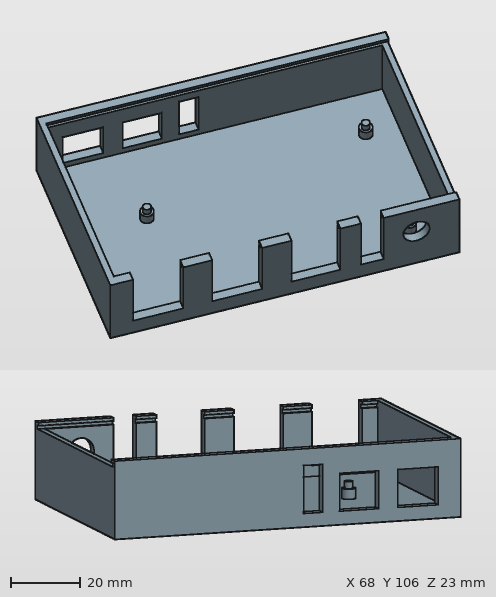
import cadquery as cq

WIDTH, LENGTH, HEIGHT = 68.0, 106.0, 23.0
SIDE_WALL = 3.0
END_WALL = 2.0
FLOOR = 2.0

LIP_HEIGHT = 1.0
GROOVE_HEIGHT = 1.1
GROOVE_DEPTH = 1.0

WINDOW_SILL = 4.0
WINDOWS = [(-10.7, -4.8, 18.1), (-27.8, -15.9, 15.2), (-46.0, -33.7, 15.2)]

SLOT_SILL = 5.2
SLOTS = [(23.1, 30.0), (2.0, 16.9), (-22.0, -6.9), (-46.1, -30.8)]

HOLE_DIAMETER = 8.0
HOLE_Y, HOLE_Z = 40.0, 13.7

POST_CENTERS = [(-16.0, 41.0), (22.9, 41.4), (-5.0, -29.0)]
POST_DIAMETER, POST_HEIGHT = 4.0, 3.0
PIN_DIAMETER, PIN_HEIGHT = 2.4, 2.0

INNER_WIDTH = WIDTH - 2 * SIDE_WALL
INNER_LENGTH = LENGTH - 2 * END_WALL


def block(x_range, y_range, z_range):
    """Axis-aligned box between the given limits."""
    lows, highs = zip(x_range, y_range, z_range)
    size = [high - low for low, high in zip(lows, highs)]
    return cq.Workplane("XY").box(*size, centered=False).translate(lows)


def tray():
    """Rectangular shell with a floor and four walls."""
    outer = cq.Workplane("XY").box(WIDTH, LENGTH, HEIGHT, centered=(True, True, False))
    cavity = cq.Workplane("XY", origin=(0, 0, FLOOR)).box(
        INNER_WIDTH, INNER_LENGTH, HEIGHT, centered=(True, True, False)
    )
    return outer.cut(cavity)


def lid_groove():
    """Opening between the lips plus the wider groove below them, open through the +Y wall."""
    y_range = (END_WALL - LENGTH / 2, LENGTH / 2)
    opening_half = INNER_WIDTH / 2
    groove_half = opening_half + GROOVE_DEPTH
    lip_bottom = HEIGHT - LIP_HEIGHT
    opening = block((-opening_half, opening_half), y_range, (lip_bottom, HEIGHT))
    groove = block((-groove_half, groove_half), y_range, (lip_bottom - GROOVE_HEIGHT, lip_bottom))
    return opening.union(groove)


def post(center):
    """Round post on the floor with a thinner locating pin on top."""
    base = cq.Workplane("XY", origin=(*center, FLOOR)).circle(POST_DIAMETER / 2).extrude(POST_HEIGHT)
    return base.faces(">Z").workplane().circle(PIN_DIAMETER / 2).extrude(PIN_HEIGHT)


left_wall = (-WIDTH / 2, -INNER_WIDTH / 2)
right_wall = (INNER_WIDTH / 2, WIDTH / 2)

result = tray().cut(lid_groove())

for y_low, y_high, window_top in WINDOWS:
    result = result.cut(block(left_wall, (y_low, y_high), (WINDOW_SILL, window_top)))

for slot in SLOTS:
    result = result.cut(block(right_wall, slot, (SLOT_SILL, HEIGHT)))

hole = (
    cq.Workplane("YZ", origin=(INNER_WIDTH / 2, HOLE_Y, HOLE_Z))
    .circle(HOLE_DIAMETER / 2)
    .extrude(SIDE_WALL)
)
result = result.cut(hole)

for post_center in POST_CENTERS:
    result = result.union(post(post_center))